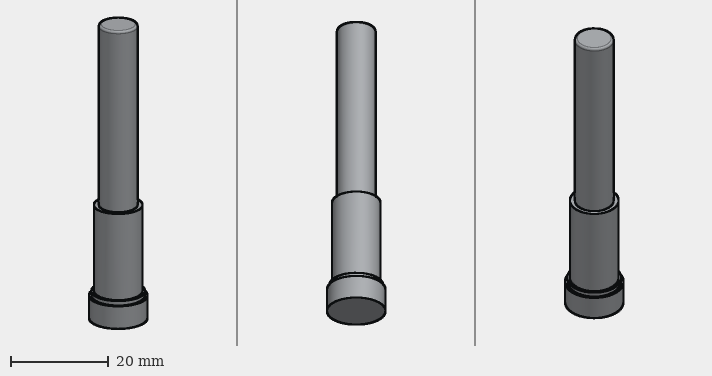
import cadquery as cq

total_height = 65.0
head_diameter = 12.0
head_height = 5.0
collar_diameter = 11.05
collar_height = 1.0
body_diameter = 10.0
shaft_diameter = 8.0
shaft_length = 40.0
tip_radius = 0.5

body_height = total_height - head_height - collar_height - shaft_length


def add_step(part, diameter, height):
    """Stack a coaxial cylinder on the top face of the part."""
    return part.faces(">Z").workplane().circle(diameter / 2).extrude(height)


result = cq.Workplane("XY").circle(head_diameter / 2).extrude(head_height)
result = add_step(result, collar_diameter, collar_height)
result = add_step(result, body_diameter, body_height)
result = add_step(result, shaft_diameter, shaft_length)

result = result.faces(">Z").edges().fillet(tip_radius)